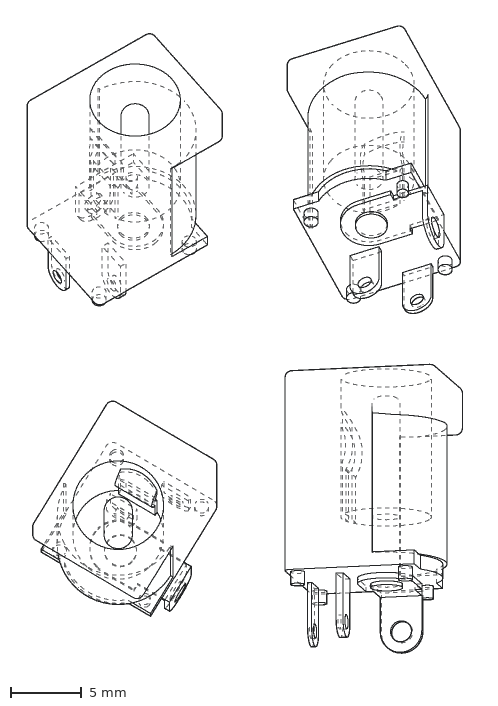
import cadquery as cq
import math


width = 9.0
depth = 11.0
height = 14.4
back_y = 4.6
edge_round = 0.5
cap_height = 3.5
lip_height = 1.0
lip_setback = 1.55
barrel_radius = 4.3
foot_radius = 4.0
front_y = back_y - depth

bore_diameter = 6.4
bore_depth = 10.0
pin_diameter = 2.0
pin_round = 0.5
pin_recess = 1.4
bore_floor = height - bore_depth
spring_width = 3.0
spring_thickness = 0.5
spring_bend_radius = 3.38
spring_reach_y = -2.07
spring_lean = 28
spring_bend_z = 9.4

terminal_length = 4.4
side_terminal_width = 3.0
side_terminal_hole = 1.5
side_terminal_overhang = 0.6
side_terminal_thickness = 0.4
terminal_plate_radius = 2.01
terminal_plate_reach = 2.5
rivet_diameter = 2.25
rivet_x = -0.19
rivet_length = 0.65
front_terminal_width = 2.2
front_terminal_hole = 1.0
front_terminal_offset = 1.4
switch_terminal_y = -5.6
switch_terminal_thickness = 0.3
spring_terminal_y = -2.8
spring_terminal_thickness = spring_thickness

post_x = 3.5
post_length = 0.9
post_diameter = 1.0
small_post_diameter = 0.8
front_post_y = switch_terminal_y
back_post_y = 2.2


def block(x0, x1, y0, y1, z0, z1):
    """Box between two opposite corners."""
    return cq.Workplane("XY").box(x1 - x0, y1 - y0, z1 - z0, centered=False).translate((x0, y0, z0))


def cylinder(diameter, z0, z1, x=0, y=0):
    """Upright round bar between two heights."""
    return cq.Workplane("XY").workplane(offset=z0).center(x, y).circle(diameter / 2).extrude(z1 - z0)


def make_housing():
    """Rounded block whose back half narrows to a round barrel between the cap and the lip."""
    half = width / 2
    envelope = block(-half, half, front_y, back_y, 0, height).edges("|Z or >Z").fillet(edge_round)
    front = envelope.intersect(block(-half, half, front_y, 0, 0, height))
    cap = block(-half, half, front_y, back_y, height - cap_height, height).edges().fillet(edge_round)
    lip = block(-half, half, 0, back_y - lip_setback, 0, lip_height)
    barrel = cylinder(2 * barrel_radius, lip_height, height - cap_height / 2)
    foot = cylinder(2 * foot_radius, 0, lip_height)
    return front.union(cap).union(lip).union(barrel).union(foot)


def make_pin():
    """Centre pin with a rounded tip, standing on the bore floor."""
    return cylinder(pin_diameter, bore_floor, height - pin_recess).faces(">Z").edges().fillet(pin_round)


def make_spring():
    """Leaf that rises from the bore floor, bows toward the pin and leans back into the wall."""
    lean = math.radians(spring_lean)
    bend_y = spring_reach_y - spring_bend_radius
    leg_y = spring_terminal_y + spring_terminal_thickness / 2
    foot_angle = -math.acos((leg_y - bend_y) / spring_bend_radius)
    inner_radius = spring_bend_radius - spring_thickness
    wall_y = -bore_diameter / 2 - spring_thickness

    def on_bend(radius, angle):
        return (bend_y + radius * math.cos(angle), spring_bend_z + radius * math.sin(angle))

    def on_wall(start):
        return (wall_y, start[1] + (start[0] - wall_y) / math.tan(lean))

    outer_top = on_bend(spring_bend_radius, lean)
    inner_top = on_bend(inner_radius, lean)
    inner_foot = on_bend(inner_radius, foot_angle)
    return (
        cq.Workplane("YZ")
        .moveTo(leg_y, bore_floor)
        .lineTo(*on_bend(spring_bend_radius, foot_angle))
        .threePointArc(on_bend(spring_bend_radius, 0), outer_top)
        .lineTo(*on_wall(outer_top))
        .lineTo(*on_wall(inner_top))
        .lineTo(*inner_top)
        .threePointArc(on_bend(inner_radius, 0), inner_foot)
        .lineTo(inner_foot[0], bore_floor)
        .close()
        .extrude(spring_width / 2, both=True)
    )


def make_blade(plane, tab_width, hole_diameter, thickness):
    """Hanging tab with a round end and an eyelet, centred on its thickness."""
    radius = tab_width / 2
    eye_z = radius - terminal_length
    return (
        cq.Workplane(plane)
        .moveTo(-radius, 0)
        .lineTo(-radius, eye_z)
        .threePointArc((0, -terminal_length), (radius, eye_z))
        .lineTo(radius, 0)
        .close()
        .moveTo(0, eye_z)
        .circle(hole_diameter / 2)
        .extrude(thickness / 2, both=True)
    )


def make_side_terminal():
    """Round-ended plate under the housing, with a rivet head, bent down outside the -X wall."""
    outer_x = -width / 2 - side_terminal_overhang
    half = side_terminal_width / 2
    blade = make_blade("YZ", side_terminal_width, side_terminal_hole, side_terminal_thickness)
    blade = blade.translate((outer_x + side_terminal_thickness / 2, 0, 0))
    strip = block(outer_x, 0, -half, half, -side_terminal_thickness, 0)
    plate = block(-terminal_plate_reach, 0, -terminal_plate_radius, terminal_plate_radius,
                  -side_terminal_thickness, 0)
    plate_end = cylinder(2 * terminal_plate_radius, -side_terminal_thickness, 0)
    rivet = cylinder(rivet_diameter, -rivet_length, 0, rivet_x)
    return blade.union(strip).union(plate).union(plate_end).union(rivet)


def make_front_terminal(x, y, thickness):
    """Narrow terminal hanging straight down from the housing."""
    return make_blade("XZ", front_terminal_width, front_terminal_hole, thickness).translate((x, y, 0))


result = make_housing().cut(cylinder(bore_diameter, bore_floor, height))
result = result.union(make_pin()).union(make_spring()).union(make_side_terminal())
result = result.union(
    make_front_terminal(-front_terminal_offset, switch_terminal_y, switch_terminal_thickness)
)
result = result.union(
    make_front_terminal(front_terminal_offset, spring_terminal_y, spring_terminal_thickness)
)
for x, y, diameter in [
    (-post_x, front_post_y, post_diameter),
    (post_x, front_post_y, post_diameter),
    (-post_x, back_post_y, small_post_diameter),
    (post_x, back_post_y, post_diameter),
]:
    result = result.union(cylinder(diameter, -post_length, 0, x, y))